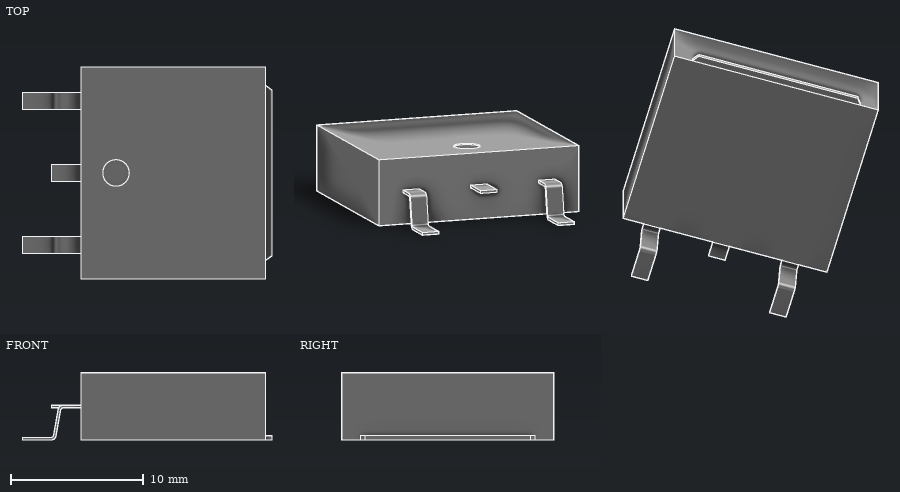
import cadquery as cq
import math

overall_length = 18.9
housing_width = 16.05
housing_height = 5.1

tab_length = 0.5
tab_thickness = 0.34
tab_root_width = 13.23
tab_tip_width = 12.51

housing_front = 4.42
housing_back = overall_length - tab_length

marker_diameter = 2.0
marker_depth = 0.1
marker_setback = 2.66

lead_thickness = 0.2
lead_width = 1.3
lead_pitch = 5.45
lead_top = 2.65
foot_length = 2.15
bend_angle = math.radians(80)
bend_inner_radius = lead_thickness
short_lead_length = 2.23


def make_housing():
    """Rectangular housing with a shallow round marker recess."""
    block = (
        cq.Workplane("XY")
        .box(housing_back - housing_front, housing_width, housing_height, centered=(False, True, False))
        .translate((housing_front, 0, 0))
    )
    marker = (
        cq.Workplane("XY")
        .workplane(offset=housing_height - marker_depth)
        .center(housing_front + marker_setback, 0)
        .circle(marker_diameter / 2)
        .extrude(marker_depth)
    )
    return block.cut(marker)


def make_tab():
    """Thin tab that tapers in width away from the housing."""
    return (
        cq.Workplane("XY")
        .moveTo(housing_back, -tab_root_width / 2)
        .lineTo(overall_length, -tab_tip_width / 2)
        .lineTo(overall_length, tab_tip_width / 2)
        .lineTo(housing_back, tab_root_width / 2)
        .close()
        .extrude(tab_thickness)
    )


def make_gull_wing_lead(y_center):
    """Outer lead: flat foot, steep riser and flat shoulder joined by two round bends."""
    bend_outer_radius = bend_inner_radius + lead_thickness
    middle_radius = bend_inner_radius + lead_thickness / 2
    rise = lead_top - lead_thickness

    bend_run = 2 * middle_radius * math.tan(bend_angle / 2) + rise / math.tan(bend_angle)
    shoulder_start = foot_length + bend_run
    lower_center_z = bend_outer_radius
    upper_center_z = lead_top - bend_outer_radius

    def lower_bend_point(radius, angle):
        return (foot_length + radius * math.sin(angle), lower_center_z - radius * math.cos(angle))

    def upper_bend_point(radius, angle):
        return (shoulder_start - radius * math.sin(angle), upper_center_z + radius * math.cos(angle))

    half_bend = bend_angle / 2
    return (
        cq.Workplane("XZ", origin=(0, y_center + lead_width / 2, 0))
        .moveTo(0, 0)
        .lineTo(foot_length, 0)
        .threePointArc(
            lower_bend_point(bend_outer_radius, half_bend),
            lower_bend_point(bend_outer_radius, bend_angle),
        )
        .lineTo(*upper_bend_point(bend_inner_radius, bend_angle))
        .threePointArc(
            upper_bend_point(bend_inner_radius, half_bend),
            upper_bend_point(bend_inner_radius, 0),
        )
        .lineTo(housing_front, lead_top - lead_thickness)
        .lineTo(housing_front, lead_top)
        .lineTo(shoulder_start, lead_top)
        .threePointArc(
            upper_bend_point(bend_outer_radius, half_bend),
            upper_bend_point(bend_outer_radius, bend_angle),
        )
        .lineTo(*lower_bend_point(bend_inner_radius, bend_angle))
        .threePointArc(
            lower_bend_point(bend_inner_radius, half_bend),
            lower_bend_point(bend_inner_radius, 0),
        )
        .lineTo(0, lead_thickness)
        .close()
        .extrude(lead_width)
    )


def make_short_lead():
    """Straight, cropped middle lead."""
    return (
        cq.Workplane("XY")
        .box(short_lead_length, lead_width, lead_thickness, centered=(False, True, False))
        .translate((housing_front - short_lead_length, 0, lead_top - lead_thickness))
    )


housing = make_housing()
tab = make_tab()
short_lead = make_short_lead()
outer_leads = [make_gull_wing_lead(side * lead_pitch) for side in (-1, 1)]

result = cq.Compound.makeCompound(
    [housing.val(), tab.val(), short_lead.val(), *[lead.val() for lead in outer_leads]]
)